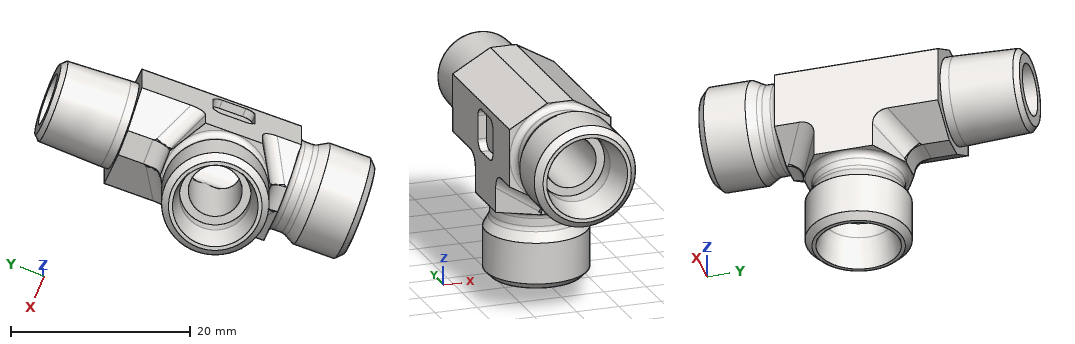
import cadquery as cq
import math

across_flats = 12.0
half_flats = across_flats / 2
back_face = 11.0
front_face = 8.03
crotch_radius = 2.0
top_flat_half = 1.5
trim_allowance = 3.7

port_length = 9.03
thread_radius = half_flats
neck_radius = 5.2
neck_fillet = 0.75
cone_start = 2.0
cone_end = 3.4
cone_blend = 1.2
thread_chamfer = 0.78

bore_radius = 3.0
tube_radius = 4.0
mouth_radius = 4.77
seat_angle = 12
tube_depth = 5.5
seat_depth = (mouth_radius - tube_radius) / math.tan(math.radians(seat_angle))

stub_length = 8.95
stub_collar = 1.0
stub_radius = 5.07
stub_tip_radius = 4.77
stub_chamfer = 0.6

badge_side = 5.0
badge_corner = 1.1
badge_depth = 1.0


def hex_points():
    """Hexagon standing on a corner, with that corner and its opposite cut flat."""
    side_half = half_flats - (half_flats - top_flat_half) * math.tan(math.radians(30))
    quarter = [(half_flats, side_half), (top_flat_half, half_flats)]
    upper = quarter + [(-x, y) for x, y in reversed(quarter)]
    return upper + [(-x, -y) for x, y in upper]


def is_crotch(edge):
    """True for the inside corners of run and branch, which lie on the planes |y| = -z."""
    tolerance = 3.7e-05
    points = [edge.Center()] + [vertex.Center() for vertex in edge.Vertices()]
    return all(point.z < 0 and abs(abs(point.y) + point.z) < tolerance for point in points)


def make_body():
    run_back = back_face + trim_allowance
    run_front = front_face + trim_allowance
    run = (
        cq.Workplane("XZ", origin=(0, run_back, 0))
        .polyline(hex_points()).close()
        .extrude(run_back + run_front)
    )
    branch = cq.Workplane("XY").polyline(hex_points()).close().extrude(-run_front)
    body = run.union(branch)
    crotch = [edge for edge in body.edges().vals() if is_crotch(edge)]
    body = body.newObject(crotch).fillet(crotch_radius)
    envelope = (
        cq.Workplane("XY")
        .box(across_flats, back_face + front_face, half_flats + front_face)
        .translate((0, (back_face - front_face) / 2, (half_flats - front_face) / 2))
    )
    return body.intersect(envelope)


def make_port():
    """Outside of a tube connection, standing on the XY plane along +Z."""
    tip_radius = thread_radius - thread_chamfer
    mid = neck_fillet * (1 - math.sqrt(0.5))
    port = (
        cq.Workplane("XZ")
        .lineTo(neck_radius + neck_fillet, 0)
        .threePointArc((neck_radius + mid, mid), (neck_radius, neck_fillet))
        .lineTo(neck_radius, cone_start)
        .lineTo(thread_radius, cone_end)
        .lineTo(thread_radius, port_length - thread_chamfer)
        .lineTo(tip_radius, port_length)
        .lineTo(0, port_length)
        .close()
        .revolve(360, (0, 0, 0), (0, 1, 0))
    )
    neck_corner = cq.selectors.NearestToPointSelector((-neck_radius, 0, cone_start))
    return port.edges("%CIRCLE").edges(neck_corner).fillet(cone_blend)


def make_port_bore():
    """Conical seat, tube socket and bore, from the port mouth down to the fitting centre."""
    return (
        cq.Workplane("XZ")
        .polyline([
            (0, -front_face),
            (bore_radius, -front_face),
            (bore_radius, port_length - tube_depth),
            (tube_radius, port_length - tube_depth),
            (tube_radius, port_length - seat_depth),
            (mouth_radius, port_length),
            (0, port_length),
        ])
        .close()
        .revolve(360, (0, 0, 0), (0, 1, 0))
    )


def make_stub():
    return (
        cq.Workplane("XY")
        .polyline([
            (0, back_face),
            (stub_radius, back_face),
            (stub_radius, back_face + stub_collar),
            (stub_tip_radius, back_face + stub_length - stub_chamfer),
            (stub_tip_radius - stub_chamfer, back_face + stub_length),
            (0, back_face + stub_length),
        ])
        .close()
        .revolve(360, (0, 0, 0), (0, 1, 0))
    )


def make_badge():
    return (
        cq.Workplane("YZ", origin=(-half_flats, 0, 0))
        .rect(badge_side, badge_side)
        .extrude(badge_depth)
        .edges("|X").fillet(badge_corner)
    )


def on_front(shape):
    return shape.translate((0, 0, front_face)).rotate((0, 0, 0), (1, 0, 0), 90)


def on_branch(shape):
    return shape.translate((0, 0, front_face)).rotate((0, 0, 0), (1, 0, 0), 180)


port = make_port()
port_bore = make_port_bore()
stub_bore = cq.Workplane("XZ").circle(bore_radius).extrude(-(back_face + stub_length))

result = make_body().union(make_stub()).union(on_front(port)).union(on_branch(port))
result = result.cut(stub_bore).cut(on_front(port_bore)).cut(on_branch(port_bore)).cut(make_badge())